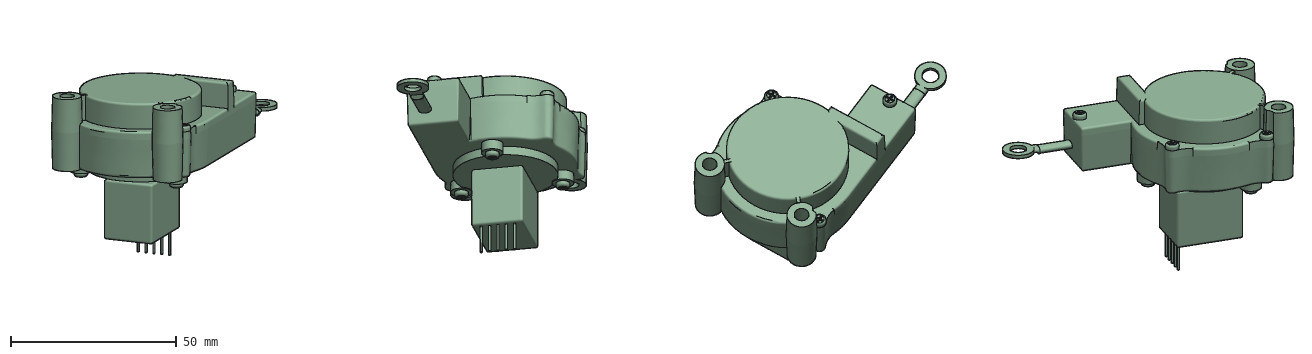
import cadquery as cq
import math

PLATE_TOP = 2.4
DRUM_TOP = 10.3
EAR_TOP = 10.55
CASE_BOTTOM = -12.0
RING_BOTTOM = -14.8
BOSS_BOTTOM = -15.0
MOTOR_TOP = -16.9
MOTOR_BOTTOM = -35.5
PIN_BOTTOM = -44.1

DRAFT = 1.5
EDGE_FILLET = 0.7

BODY_R = 22.2
ARM_LEFT = 6.0
ARM_END = 37.3
ARM_CORNER = 0.65
LOBE_R = 2.2
LOBE_DISTANCE = 23.45
LOBE_BLEND = 6.7
LOBE_ANGLES = [-32.9, -147.1, -225.0]

DRUM_R = 18.5
RIB_X = 2.6
RIB_Y = (15.4, 20.1)
EAR_X = 16.55
EAR_Y = -17.8
EAR_R = 4.7
EAR_HOLE_D = 4.4
EAR_WEB = 1.1

SCREW_D = 4.2
SCREW_H = 1.6
SCREW_RIM = 0.6
SCREW_FACE_R = 1.5
CROSS_LENGTH = 2.3
CROSS_WIDTH = 0.5
CROSS_DEPTH = 0.65
ARM_SCREW = (14.2, 34.9)

RING_R = 15.9
BOSS_D = 6.6
BOSS_DISTANCE = 18.2
BOSS_ANGLES = [90, 210, 330]
COLLAR_D = 6.3
MOTOR_WIDTH = 16.0
MOTOR_Y = (-9.65, 11.7)
PIN_COUNT = 5
PIN_PITCH = 2.6
PIN_D = 0.7
PIN_TIP = 0.25
PIN_Y = 10.3

LUG_X = EAR_X
LUG_Y = 53.9
LUG_R = 4.8
LUG_HOLE_D = 5.1
LUG_TOP = -6.0
CRIMP_WIDTH = 4.05
CRIMP_HEIGHT = 2.3
CRIMP_END = 47.55
CRIMP_ROOT = ARM_END - 1.6

OVERLAP = 0.8


def polar(radius, degrees):
    angle = math.radians(degrees)
    return (radius * math.cos(angle), radius * math.sin(angle))


def tapered(outline, z, height):
    """Extrude an outline from z up or down, narrowing with the draft angle."""
    return outline(cq.Workplane("XY").workplane(offset=z)).extrude(height, taper=DRAFT)


def cylinder(x, y, radius, z_low, z_high):
    return cq.Workplane("XY", origin=(x, y, z_low)).circle(radius).extrude(z_high - z_low)



BLEND_DISTANCE = BODY_R + LOBE_BLEND
BLEND_REACH = LOBE_R + LOBE_BLEND
BLEND_SWING = math.degrees(math.acos(
    (BLEND_DISTANCE**2 + LOBE_DISTANCE**2 - BLEND_REACH**2) / (2 * BLEND_DISTANCE * LOBE_DISTANCE)))


def lobe_blend(lobe_angle, side):
    """Points of one concave blend: on the body, midway and on the lobe."""
    body_angle = lobe_angle + side * BLEND_SWING
    centre = polar(BLEND_DISTANCE, body_angle)
    lobe = polar(LOBE_DISTANCE, lobe_angle)
    on_body = polar(BODY_R, body_angle)
    on_lobe = tuple(l + (c - l) * LOBE_R / BLEND_REACH for l, c in zip(lobe, centre))
    chord_mid = [(b + l) / 2 for b, l in zip(on_body, on_lobe)]
    offset = [m - c for m, c in zip(chord_mid, centre)]
    middle = tuple(c + o * LOBE_BLEND / math.hypot(*offset) for c, o in zip(centre, offset))
    return on_body, middle, on_lobe


def around_lobe(path, lobe_angle, direction):
    """Continue a path from the body over one lobe; direction is +1 anticlockwise."""
    start, start_middle, lobe_start = lobe_blend(lobe_angle, -direction)
    end, end_middle, lobe_end = lobe_blend(lobe_angle, direction)
    lobe_tip = polar(LOBE_DISTANCE + LOBE_R, lobe_angle)
    return (path.threePointArc(start_middle, lobe_start)
            .threePointArc(lobe_tip, lobe_end)
            .threePointArc(end_middle, end))


def around_arm(path):
    """Continue a path from the left foot of the arm to the right of the body."""
    return (path.lineTo(ARM_LEFT, ARM_END - ARM_CORNER)
            .radiusArc((ARM_LEFT + ARM_CORNER, ARM_END), ARM_CORNER)
            .lineTo(BODY_R - ARM_CORNER, ARM_END)
            .radiusArc((BODY_R, ARM_END - ARM_CORNER), ARM_CORNER)
            .lineTo(BODY_R, 0))


ARM_FOOT = (ARM_LEFT, math.sqrt(BODY_R**2 - ARM_LEFT**2))
ARM_FOOT_ANGLE = math.degrees(math.acos(ARM_LEFT / BODY_R))


def plain_outline(plane):
    """Round body with the arm, clockwise from the right of the body."""
    path = plane.moveTo(BODY_R, 0).threePointArc((-BODY_R, 0), ARM_FOOT)
    return around_arm(path).close()


def lobed_outline(plane):
    """Round body with the arm and all lobes, clockwise from the right."""
    path = plane.moveTo(BODY_R, 0)
    angle = 0
    for lobe_angle in LOBE_ANGLES:
        arrive = lobe_angle + BLEND_SWING
        path = path.threePointArc(polar(BODY_R, (angle + arrive) / 2), polar(BODY_R, arrive))
        path = around_lobe(path, lobe_angle, -1)
        angle = lobe_angle - BLEND_SWING
    arrive = ARM_FOOT_ANGLE - 360
    path = path.threePointArc(polar(BODY_R, (angle + arrive) / 2), ARM_FOOT)
    return around_arm(path).close()


def case_lower():
    case = tapered(lobed_outline, 0, CASE_BOTTOM)
    return case.faces("<Z").edges().fillet(EDGE_FILLET)


def case_upper():
    case = tapered(plain_outline, 0, PLATE_TOP)
    case = case.faces(">Z").edges().fillet(EDGE_FILLET)
    for angle in LOBE_ANGLES:
        def lobe_outline(plane):
            path = plane.lineTo(*lobe_blend(angle, -1)[0])
            return around_lobe(path, angle, 1).close()
        case = case.union(tapered(lobe_outline, 0, PLATE_TOP))
    return case



def drum():
    cover = cylinder(0, 0, DRUM_R, 0, DRUM_TOP)
    return cover.faces(">Z").edges().fillet(EDGE_FILLET)


def rib():
    """Straight rib from the drum to the right wall of the case."""
    def outline(plane):
        return (plane.moveTo(RIB_X, RIB_Y[0]).lineTo(RIB_X, RIB_Y[1])
                .lineTo(BODY_R, RIB_Y[1]).lineTo(BODY_R, RIB_Y[0]).close())
    bar = tapered(outline, 0, DRUM_TOP)
    return bar.faces(">Z").edges().fillet(EDGE_FILLET)


def ear(side):
    """Mounting ear without its hole, tied to the drum by a thin web and
    notched to clear the neighbouring screw."""
    def outline(plane):
        return plane.center(side * EAR_X, EAR_Y).circle(EAR_R)
    post = tapered(outline, 0, EAR_TOP).union(tapered(outline, 0, CASE_BOTTOM))
    angle = math.degrees(math.atan2(EAR_Y, side * EAR_X))
    reach = math.hypot(EAR_X, EAR_Y) - EAR_R + OVERLAP
    length = reach - DRUM_R / 2
    web = (cq.Workplane("XY").box(length, EAR_WEB, DRUM_TOP, centered=(False, True, False))
           .translate((DRUM_R / 2, 0, 0)).rotate((0, 0, 0), (0, 0, 1), angle))
    ear_body = post.union(web)
    for lobe_angle in LOBE_ANGLES:
        x, y = polar(LOBE_DISTANCE, lobe_angle)
        ear_body = ear_body.cut(cylinder(x, y, SCREW_D / 2, PLATE_TOP, EAR_TOP))
    return ear_body


def ear_hole(side):
    return cylinder(side * EAR_X, EAR_Y, EAR_HOLE_D / 2, CASE_BOTTOM, EAR_TOP)


def screw():
    """Pan head with a cross recess, seated on z = 0 and facing up."""
    rim = SCREW_D / 2
    bulge = math.sqrt(0.5)
    shoulder = (SCREW_FACE_R + (rim - SCREW_FACE_R) * bulge,
                SCREW_RIM + (SCREW_H - SCREW_RIM) * bulge)
    head = (cq.Workplane("XZ").moveTo(0, -OVERLAP).lineTo(rim, -OVERLAP).lineTo(rim, SCREW_RIM)
            .threePointArc(shoulder, (SCREW_FACE_R, SCREW_H)).lineTo(0, SCREW_H).close()
            .revolve(360, (0, 0), (0, 1)))
    floor = cq.Workplane("XY").workplane(offset=SCREW_H - CROSS_DEPTH)
    for length, width in [(CROSS_LENGTH, CROSS_WIDTH), (CROSS_WIDTH, CROSS_LENGTH)]:
        head = head.cut(floor.rect(length, width).extrude(SCREW_H))
    return head



def boss(angle):
    """Round foot with a screw head facing down."""
    x, y = polar(BOSS_DISTANCE, angle)
    foot = cylinder(x, y, BOSS_D / 2, BOSS_BOTTOM, CASE_BOTTOM + OVERLAP)
    head = screw().rotate((0, 0, 0), (1, 0, 0), 180).translate((x, y, BOSS_BOTTOM))
    return foot.union(head)


def motor():
    block = (cq.Workplane("XY", origin=(0, sum(MOTOR_Y) / 2, MOTOR_BOTTOM))
             .box(MOTOR_WIDTH, MOTOR_Y[1] - MOTOR_Y[0], MOTOR_TOP - MOTOR_BOTTOM,
                  centered=(True, True, False))
             .edges().fillet(EDGE_FILLET))
    collar = cylinder(0, 0, COLLAR_D / 2, MOTOR_TOP - OVERLAP, RING_BOTTOM + OVERLAP)
    block = block.union(collar)
    for i in range(PIN_COUNT):
        x = (i - (PIN_COUNT - 1) / 2) * PIN_PITCH
        pin = cylinder(x, PIN_Y, PIN_D / 2, PIN_BOTTOM, MOTOR_BOTTOM + OVERLAP)
        block = block.union(pin.faces("<Z").chamfer(PIN_TIP))
    return block



def lug():
    """Flat eyelet with a half-height neck that widens into the crimp sleeve."""
    middle = LUG_TOP - CRIMP_HEIGHT / 2
    eyelet = cylinder(LUG_X, LUG_Y, LUG_R, middle, LUG_TOP)

    sleeve = (cq.Workplane("XZ", origin=(LUG_X, CRIMP_ROOT, middle))
              .ellipse(CRIMP_WIDTH / 2, CRIMP_HEIGHT / 2).extrude(CRIMP_ROOT - CRIMP_END))
    neck = (cq.Workplane("XZ", origin=(LUG_X, CRIMP_END, middle))
            .slot2D(CRIMP_WIDTH, CRIMP_HEIGHT).extrude(CRIMP_END - LUG_Y))
    slope = (cq.Workplane("YZ", origin=(LUG_X, CRIMP_END, middle))
             .moveTo(0, -CRIMP_HEIGHT / 2).lineTo(CRIMP_HEIGHT / 2, 0).lineTo(LUG_R + CRIMP_HEIGHT, 0)
             .lineTo(LUG_R + CRIMP_HEIGHT, -CRIMP_HEIGHT).lineTo(0, -CRIMP_HEIGHT).close()
             .extrude(CRIMP_WIDTH, both=True))
    hole = cylinder(LUG_X, LUG_Y, LUG_HOLE_D / 2, middle - CRIMP_HEIGHT, LUG_TOP + OVERLAP)
    return eyelet.union(neck.cut(slope)).cut(hole).union(sleeve)



result = case_lower().union(case_upper()).union(drum()).union(rib())
result = result.union(cylinder(0, 0, RING_R, RING_BOTTOM, CASE_BOTTOM + OVERLAP))
for boss_angle in BOSS_ANGLES:
    result = result.union(boss(boss_angle))
result = result.union(motor()).union(lug())
for ear_side in [-1, 1]:
    result = result.union(ear(ear_side))
lobe_screws = [polar(LOBE_DISTANCE, lobe_angle) for lobe_angle in LOBE_ANGLES]
for x, y in [ARM_SCREW] + lobe_screws:
    result = result.union(screw().translate((x, y, PLATE_TOP)))
for ear_side in [-1, 1]:
    result = result.cut(ear_hole(ear_side))